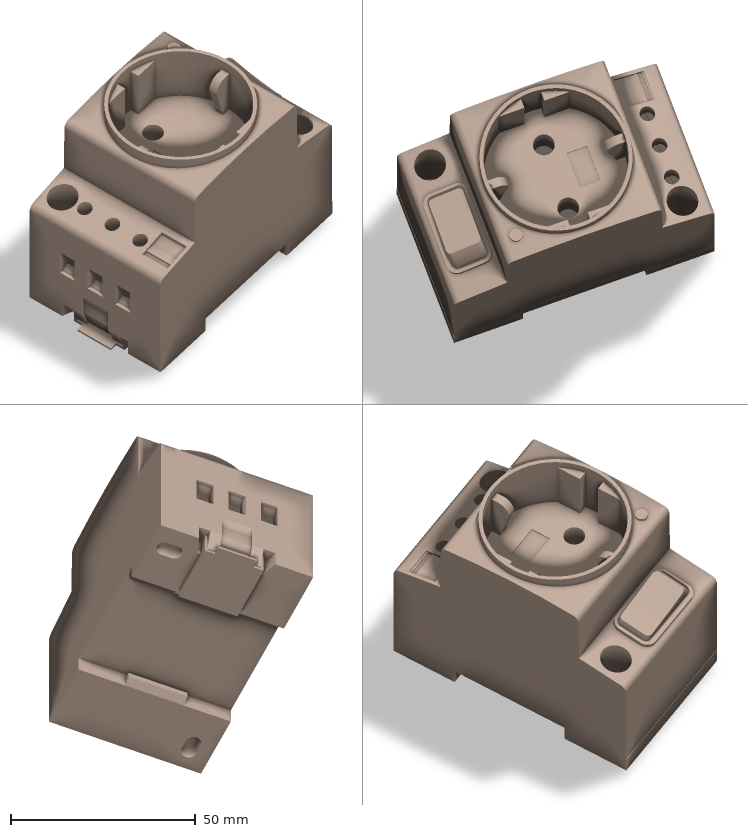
import cadquery as cq
import math


WIDTH = 45.0
LENGTH = 75.5
HEIGHT = 61.7
FRONT_Y = -37.4
BACK_Y = 37.5
BACK_SKIRT_Y = 37.7
TOWER_FOOT_Y = 22.4
TOWER_TOP_Y = 22.2
SHOULDER_Z = 38.6
SHOULDER_ANGLE = 10.3
TOWER_EDGE_Z = 55.85
TOWER_CROWN_Z = 57.15
EDGE_RADIUS = 2.0
OVERLAP = 0.75

RAIL_Y = 17.75
RAIL_Z = 4.75
HOOK_REACH = 2.2
HOOK_Z = (3.7, 2.95, 1.4)

LATCH_WIDTH = 17.35
LATCH_WALL = 0.8
LATCH_BOTTOM_Z = -1.9
LATCH_FLOOR = 0.75
LATCH_FRONT_Y = -35.5
LATCH_BACK_Y = -18.0
LATCH_GAP = 0.5
LATCH_NOSE = [(-14.4, 3.25), (-15.0, 3.7), (-16.7, 4.1), (-16.7, RAIL_Z)]
TAB_WIDTH = 11.5
TAB_FRONT_Y = BACK_SKIRT_Y - LENGTH
NOTCH_WIDTH = 22.65
NOTCH_INNER_WIDTH = 19.0
NOTCH_DEPTH = 4.7
RAMP_RUN = 2.1
RECESS_WIDTH = 8.9
RECESS_DEPTH = 0.8
RECESS_TOP_Z = 12.0
RECESS_FLAT_Z = (9.3, 5.05)

RIM_Z = LATCH_BOTTOM_Z + HEIGHT
RIM_RADIUS = 20.7
WELL_RADIUS = 19.6
WELL_FLOOR_Z = 42.3
PIN_RADIUS = 2.95
PIN_X = 9.5
PIN_DEPTH = 10.6
GUIDE_X = 16.8
GUIDE_GAP = 5.8
GUIDE_TOP_Z = 57.4
PANEL_SIZE = (10.4, 6.0)
PANEL_Y = -7.9
PANEL_DEPTH = 0.4
CLIP_WIDTH = 2.6
CLIP_TOP_Z = 56.2
CLIP_NOSE_Y = 14.1
CLIP_ROUND = 3.6
CLIP_FOOT_Y = 16.9

LAMP_RADIUS = 1.7
LAMP_POSITION = (-16.0, 17.4)
LAMP_TOP_Z = 57.15

BORE_RADIUS = 4.3
BORE_FLOOR_Z = 9.8
SLOT_LENGTH = 7.4
SLOT_WIDTH = 4.45
FRONT_MOUNT = (-16.8, -30.2)
BACK_MOUNT = (16.3, 30.3)

TERMINAL_PITCH = 9.5
SCREW_RADIUS = 2.1
SCREW_Y = -29.8
SCREW_HEAD_Z = 31.7
DRIVER_SLOT_WIDTH = 0.6
DRIVER_SLOT_DEPTH = 0.7
ENTRY_WIDTH = 5.0
CENTRE_ENTRY_WIDTH = 5.2
CENTRE_ENTRY_INNER_WIDTH = 4.4
ENTRY_MOUTH_Z = (16.6, 24.5)
ENTRY_BACK_Z = (17.75, 23.1)
ENTRY_LIP = 0.2
ENTRY_LEAD_IN = 1.2
ENTRY_DEPTH = 3.1

WINDOW_X = 17.1
WINDOW_WIDTH = 8.6
WINDOW_BACK_Y = -24.5
WINDOW_FRONT_Y = -33.1
WINDOW_FLOOR = [(WINDOW_BACK_Y, 37.1), (-28.2, 36.4), (-31.2, 36.4)]
WINDOW_FLOOR += [(-31.2, 35.8), (-32.6, 35.8), (-32.6, 36.15), (WINDOW_FRONT_Y, 36.15)]

SWITCH_X = -3.4
SWITCH_Y = 29.4
BEZEL_SIZE = (23.7, 13.0)
BEZEL_HEIGHT = 1.2
BEZEL_RADIUS = 3.0
ROCKER_WIDTH = 21.1
ROCKER_DEPTH = 10.0
ROCKER_OFFSET = -0.2
ROCKER_RADIUS = 1.3
ROCKER_RIDGE = (-7.3, 6.0)
ROCKER_FLANK = (-9.6, 3.0)
ROCKER_LOW = (9.9, 2.7)
ROCKER_SAG = 0.4
GAP_WIDTH = 0.45
GAP_FLOOR = 0.6


def box_between(x_range, y_range, z_range):
    size = [high - low for low, high in (x_range, y_range, z_range)]
    corner = (x_range[0], y_range[0], z_range[0])
    return cq.Workplane("XY").box(*size, centered=False).translate(corner)


def extrude_along_x(outline, width, x_centre=0.0):
    """Extrude a closed (y, z) outline to a given width about x_centre."""
    sketch = cq.Workplane("YZ", origin=(x_centre, 0, 0)).polyline(outline).close()
    return sketch.extrude(width / 2, both=True)


def cylinder(position, radius, z_range):
    base = cq.Workplane("XY", origin=(*position, z_range[0]))
    return base.circle(radius).extrude(z_range[1] - z_range[0])


def shoulder_height(y):
    return SHOULDER_Z - (abs(y) - TOWER_FOOT_Y) * math.tan(math.radians(SHOULDER_ANGLE))


def make_housing():
    front_z = shoulder_height(FRONT_Y)
    back_z = shoulder_height(BACK_Y)
    body = (
        cq.Workplane("YZ")
        .moveTo(FRONT_Y, 0)
        .lineTo(FRONT_Y, front_z)
        .lineTo(-TOWER_FOOT_Y, SHOULDER_Z)
        .lineTo(-TOWER_TOP_Y, TOWER_EDGE_Z)
        .threePointArc((0, TOWER_CROWN_Z), (TOWER_TOP_Y, TOWER_EDGE_Z))
        .lineTo(TOWER_FOOT_Y, SHOULDER_Z)
        .lineTo(BACK_Y, back_z)
        .lineTo(BACK_Y, RAIL_Z)
        .lineTo(BACK_SKIRT_Y, RAIL_Z)
        .lineTo(BACK_SKIRT_Y, 0)
        .lineTo(RAIL_Y, 0)
        .lineTo(RAIL_Y, RAIL_Z)
        .lineTo(-RAIL_Y, RAIL_Z)
        .lineTo(-RAIL_Y, 0)
        .close()
        .extrude(WIDTH / 2, both=True)
    )
    outer_edges = [
        (FRONT_Y, front_z),
        (BACK_Y, back_z),
        (-TOWER_TOP_Y, TOWER_EDGE_Z),
        (TOWER_TOP_Y, TOWER_EDGE_Z),
    ]
    for y, z in outer_edges:
        body = body.edges(cq.NearestToPointSelector((0, y, z))).fillet(EDGE_RADIUS)
    return body


def make_rail_hook():
    top, upper, lower = HOOK_Z
    tip = RAIL_Y - HOOK_REACH
    root = RAIL_Y + OVERLAP
    outline = [(root, top), (RAIL_Y, top), (tip, upper), (tip, lower), (RAIL_Y, 0), (root, 0)]
    return extrude_along_x(outline, LATCH_WIDTH)


def cut_latch_seat(body):
    """Notch, sloping ramp and finger recess in the front wall and the latch below it."""
    notch = (
        cq.Workplane("XY")
        .polyline([
            (-NOTCH_WIDTH / 2, FRONT_Y),
            (NOTCH_WIDTH / 2, FRONT_Y),
            (NOTCH_INNER_WIDTH / 2, FRONT_Y + NOTCH_DEPTH),
            (-NOTCH_INNER_WIDTH / 2, FRONT_Y + NOTCH_DEPTH),
        ])
        .close()
        .extrude(RAIL_Z)
    )
    notch_back_y = FRONT_Y + NOTCH_DEPTH
    ramp_width = LATCH_WIDTH - 2 * LATCH_WALL
    for width, front_y in ((ramp_width, FRONT_Y), (LATCH_WIDTH, LATCH_FRONT_Y)):
        notch = notch.cut(box_between((-width / 2, width / 2), (front_y, notch_back_y), (0, RAIL_Z)))
    ramp_end = FRONT_Y + RAMP_RUN
    ramp = extrude_along_x(
        [(FRONT_Y, RAIL_Z), (ramp_end, -LATCH_GAP), (FRONT_Y, -LATCH_GAP)],
        ramp_width,
    )
    recess_y = FRONT_Y + RECESS_DEPTH
    flat_top, flat_bottom = RECESS_FLAT_Z
    recess = extrude_along_x(
        [
            (FRONT_Y, RECESS_TOP_Z),
            (recess_y, flat_top),
            (recess_y, flat_bottom),
            (ramp_end + RECESS_DEPTH, -LATCH_GAP),
            (FRONT_Y, -LATCH_GAP),
        ],
        RECESS_WIDTH,
    )
    return body.cut(notch).cut(ramp).cut(recess)


def make_latch():
    """Tray under the front foot, with a pull tab and a nose that grips the rail."""
    half = LATCH_WIDTH / 2
    inner = half - LATCH_WALL
    floor_z = LATCH_BOTTOM_Z + LATCH_FLOOR
    tray = box_between((-half, half), (LATCH_FRONT_Y, LATCH_BACK_Y), (LATCH_BOTTOM_Z, 0))
    slit = box_between((-inner, inner), (LATCH_FRONT_Y, LATCH_BACK_Y), (floor_z, -LATCH_GAP))
    tab = box_between(
        (-TAB_WIDTH / 2, TAB_WIDTH / 2),
        (TAB_FRONT_Y, LATCH_FRONT_Y + OVERLAP),
        (LATCH_BOTTOM_Z, floor_z),
    )
    nose = extrude_along_x(
        [
            (LATCH_BACK_Y, -LATCH_GAP),
            (-RAIL_Y, -LATCH_GAP),
            *LATCH_NOSE,
            (LATCH_BACK_Y, RAIL_Z),
        ],
        LATCH_WIDTH,
    )
    return tray.cut(slit).union(tab).union(nose)


def make_earth_clip():
    root_y = (RIM_RADIUS + WELL_RADIUS) / 2
    corner_y = CLIP_NOSE_Y + CLIP_ROUND
    middle = CLIP_ROUND * (1 - math.sqrt(0.5))
    return (
        cq.Workplane("YZ")
        .moveTo(root_y, CLIP_TOP_Z)
        .lineTo(corner_y, CLIP_TOP_Z)
        .threePointArc(
            (CLIP_NOSE_Y + middle, CLIP_TOP_Z - middle),
            (CLIP_NOSE_Y, CLIP_TOP_Z - CLIP_ROUND),
        )
        .lineTo(CLIP_FOOT_Y, WELL_FLOOR_Z)
        .lineTo(root_y, WELL_FLOOR_Z)
        .close()
        .extrude(CLIP_WIDTH / 2, both=True)
    )


def add_plug_opening(body):
    centre = (0, 0)
    body = body.union(cylinder(centre, RIM_RADIUS, (WELL_FLOOR_Z, RIM_Z)))
    well = cylinder(centre, WELL_RADIUS, (WELL_FLOOR_Z, RIM_Z))
    guide_height = (WELL_FLOOR_Z, GUIDE_TOP_Z)
    for side in (-1, 1):
        for end in (-1, 1):
            x_range = sorted((side * GUIDE_X, side * WELL_RADIUS))
            y_range = sorted((end * GUIDE_GAP / 2, end * WELL_RADIUS))
            well = well.cut(box_between(x_range, y_range, guide_height))
    clip = make_earth_clip()
    well = well.cut(clip).cut(clip.mirror("XZ"))
    body = body.cut(well)
    for x in (-PIN_X, PIN_X):
        body = body.cut(cylinder((x, 0), PIN_RADIUS, (WELL_FLOOR_Z - PIN_DEPTH, WELL_FLOOR_Z)))
    panel = cq.Workplane("XY", origin=(0, PANEL_Y, WELL_FLOOR_Z)).rect(*PANEL_SIZE).extrude(-PANEL_DEPTH)
    return body.cut(panel)


def cut_mounting_hole(body, position, slot_angle):
    body = body.cut(cylinder(position, BORE_RADIUS, (BORE_FLOOR_Z, SHOULDER_Z)))
    slot = cq.Workplane("XY", origin=(*position, 0)).slot2D(SLOT_LENGTH, SLOT_WIDTH, slot_angle)
    return body.cut(slot.extrude(BORE_FLOOR_Z))


def cut_terminal(body, x):
    """Screw well in the front shoulder and wire entry in the front wall."""
    body = body.cut(cylinder((x, SCREW_Y), SCREW_RADIUS, (SCREW_HEAD_Z, SHOULDER_Z)))
    driver_slot = (
        cq.Workplane("XY", origin=(x, SCREW_Y, SCREW_HEAD_Z))
        .rect(2 * SCREW_RADIUS, DRIVER_SLOT_WIDTH)
        .extrude(-DRIVER_SLOT_DEPTH)
    )
    lead_in_y = FRONT_Y + ENTRY_LEAD_IN
    back_y = FRONT_Y + ENTRY_DEPTH
    entry = extrude_along_x(
        [
            (FRONT_Y, ENTRY_MOUTH_Z[0]),
            (lead_in_y, ENTRY_MOUTH_Z[0]),
            (lead_in_y, ENTRY_MOUTH_Z[0] + ENTRY_LIP),
            (back_y, ENTRY_BACK_Z[0]),
            (back_y, ENTRY_BACK_Z[1]),
            (lead_in_y, ENTRY_MOUTH_Z[1]),
            (FRONT_Y, ENTRY_MOUTH_Z[1]),
        ],
        ENTRY_WIDTH if x else CENTRE_ENTRY_WIDTH,
        x,
    )
    if x == 0:
        half_mouth = CENTRE_ENTRY_WIDTH / 2
        half_inner = CENTRE_ENTRY_INNER_WIDTH / 2
        funnel = (
            cq.Workplane("XY")
            .polyline([
                (-half_mouth, FRONT_Y),
                (half_mouth, FRONT_Y),
                (half_inner, lead_in_y),
                (half_inner, back_y),
                (-half_inner, back_y),
                (-half_inner, lead_in_y),
            ])
            .close()
            .extrude(SHOULDER_Z)
        )
        entry = entry.intersect(funnel)
    return body.cut(driver_slot).cut(entry)


def cut_label_window(body):
    outline = WINDOW_FLOOR + [(WINDOW_FRONT_Y, SHOULDER_Z), (WINDOW_BACK_Y, SHOULDER_Z)]
    return body.cut(extrude_along_x(outline, WINDOW_WIDTH, WINDOW_X))


def make_switch():
    """Bezel and tilted rocker, built flat and then laid on the back shoulder."""
    bezel = (
        cq.Workplane("XY", origin=(0, 0, -OVERLAP))
        .rect(*BEZEL_SIZE)
        .extrude(BEZEL_HEIGHT + OVERLAP)
        .edges("|Z")
        .fillet(BEZEL_RADIUS)
    )
    opening = (
        cq.Workplane("XY", origin=(0, ROCKER_OFFSET, GAP_FLOOR))
        .rect(ROCKER_WIDTH + 2 * GAP_WIDTH, ROCKER_DEPTH + 2 * GAP_WIDTH)
        .extrude(BEZEL_HEIGHT)
        .edges("|Z")
        .fillet(ROCKER_RADIUS + GAP_WIDTH)
    )
    half_width = ROCKER_WIDTH / 2
    sag_x = (ROCKER_RIDGE[0] + ROCKER_LOW[0]) / 2
    sag_z = (ROCKER_RIDGE[1] + ROCKER_LOW[1]) / 2 - ROCKER_SAG
    rocker = (
        cq.Workplane("XZ")
        .moveTo(-half_width, 0)
        .threePointArc(ROCKER_FLANK, ROCKER_RIDGE)
        .threePointArc((sag_x, sag_z), ROCKER_LOW)
        .lineTo(half_width, 0)
        .close()
        .extrude(ROCKER_DEPTH / 2, both=True)
    )
    end_edges = rocker.faces(">X").edges("not |Y")
    flank_point = (ROCKER_FLANK[0], 0, ROCKER_FLANK[1])
    flank_edges = rocker.faces(cq.NearestToPointSelector(flank_point)).edges("not |Y")
    rocker = rocker.newObject(end_edges.vals() + flank_edges.vals()).fillet(ROCKER_RADIUS)
    switch = bezel.cut(opening).union(rocker.translate((0, ROCKER_OFFSET, 0)))
    switch = switch.rotate((0, 0, 0), (1, 0, 0), -SHOULDER_ANGLE)
    return switch.translate((SWITCH_X, SWITCH_Y, shoulder_height(SWITCH_Y)))


part = make_housing().union(make_rail_hook()).union(make_latch())
part = cut_latch_seat(part)
part = add_plug_opening(part)
part = part.union(cylinder(LAMP_POSITION, LAMP_RADIUS, (WELL_FLOOR_Z, LAMP_TOP_Z)))
part = cut_mounting_hole(part, FRONT_MOUNT, 0)
part = cut_mounting_hole(part, BACK_MOUNT, 90)
for terminal_x in (-TERMINAL_PITCH, 0, TERMINAL_PITCH):
    part = cut_terminal(part, terminal_x)
part = cut_label_window(part)
result = part.union(make_switch())